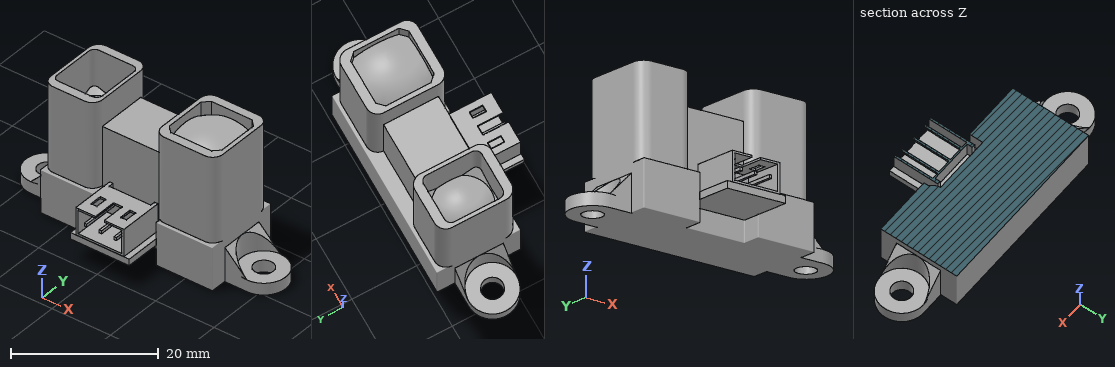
import cadquery as cq

BASE_LENGTH = 29.5
BASE_WIDTH = 13.0
BASE_HEIGHT = 7.25
EDGE_RADIUS = 0.1
NOTCH_BACK_Y = -3.5

EAR_SPACING = 37.0
EAR_RADIUS = 3.75
EAR_HOLE_DIAMETER = 3.2
EAR_THICKNESS = 2.0
GUSSET_OVERLAP = 1.0

TOWER_TOP = 21.6
TOWER_DEPTH = 11.9
TOWER_CORNER_RADIUS = 1.75
OPENING_DEPTH = 9.0
LEFT_TOWER_LENGTH = 8.9
LEFT_OPENING_LENGTH = 7.75
LEFT_OPENING_RADIUS = 1.0
RIGHT_TOWER_LENGTH = 10.45
RIGHT_OPENING_LENGTH = 9.0
RIGHT_OPENING_CHAMFER = 1.0
LEFT_TOWER_X = (LEFT_TOWER_LENGTH - BASE_LENGTH) / 2
RIGHT_TOWER_X = (BASE_LENGTH - RIGHT_TOWER_LENGTH) / 2
BLOCK_DEPTH = 8.5
BLOCK_TOP = 17.15

LENS_RADIUS = 8.5
RIGHT_LENS_TOP = 21.5
LEFT_LENS_RADIUS = 6.0
LEFT_LENS_TOP = 16.5
LEFT_BOWL_BOTTOM = 13.45

BOARD_WIDTH = 10.1
BOARD_THICKNESS = 1.1
BOARD_TOP = 4.45
FRONT_Y = -12.4

SHELL_WIDTH = 8.25
SHELL_TOP = 9.0
SHELL_FRONT_SETBACK = 0.05
SHELL_FRONT_Y = FRONT_Y + SHELL_FRONT_SETBACK
SHELL_BACK_Y = -4.85
SHELL_SIDE_WALL = 0.4
SHELL_TOP_WALL = 0.3
SHELL_FLOOR = 0.35
SHELL_BACK_WALL = 0.3
BACK_NOTCH_WIDTH = 7.1
BACK_NOTCH_DEPTH = 0.85
CAVITY_BACK_Y = SHELL_BACK_Y - BACK_NOTCH_DEPTH - SHELL_BACK_WALL
SLOT_BACK_Y = -8.35
SIDE_SLOT_WIDTH = 1.0
SIDE_SLOT_LENGTH = 2.05
KEY_SLOT_WIDTH = 1.5
PIN_PITCH = 2.54
PIN_WIDTH = 0.4
PIN_HEIGHT = 0.5
PIN_Z = 6.7
PIN_TIP_RECESS = 0.1


def span_box(x_range, y_range, z_range):
    """Box between the given limits along X, Y and Z."""
    (x0, x1), (y0, y1), (z0, z1) = x_range, y_range, z_range
    return cq.Workplane("XY").box(x1 - x0, y1 - y0, z1 - z0, centered=False).translate((x0, y0, z0))


def centered_box(width, y_range, z_range, x=0.0):
    """Box centred on x, between the given limits along Y and Z."""
    return span_box((x - width / 2, x + width / 2), y_range, z_range)


def cylinder(x, radius, bottom, top):
    """Upright cylinder centred at x on the X axis."""
    return cq.Workplane("XY", origin=(x, 0, bottom)).circle(radius).extrude(top - bottom)


def sphere(x, z, radius):
    """Sphere centred at x and z, on the mid-plane of the part."""
    return cq.Workplane("XY").sphere(radius).translate((x, 0, z))


def make_base():
    """Rounded base with an open notch in the middle of its front."""
    front = -BASE_WIDTH / 2
    base = cq.Workplane("XY").box(BASE_LENGTH, BASE_WIDTH, BASE_HEIGHT, centered=(True, True, False))
    base = base.cut(centered_box(BOARD_WIDTH, (front, NOTCH_BACK_Y), (0, BASE_HEIGHT)))
    return base.edges("|Z or >Z or <Z").fillet(EDGE_RADIUS)


def make_ear(side):
    """Mounting ear with a sloped gusset; side is -1 for -X and +1 for +X."""
    hole_x = side * EAR_SPACING / 2
    wall_x = side * BASE_LENGTH / 2
    gusset_top = EAR_THICKNESS + abs(hole_x - wall_x)
    root_x = wall_x - side * GUSSET_OVERLAP
    profile = [
        (hole_x, 0),
        (hole_x, EAR_THICKNESS),
        (wall_x, gusset_top),
        (root_x, gusset_top),
        (root_x, 0),
    ]
    gusset = cq.Workplane("XZ").polyline(profile).close().extrude(EAR_RADIUS, both=True)
    clearance = cylinder(hole_x, EAR_RADIUS, EAR_THICKNESS, gusset_top)
    disc = cylinder(hole_x, EAR_RADIUS, 0, EAR_THICKNESS)
    hole = cylinder(hole_x, EAR_HOLE_DIAMETER / 2, 0, EAR_THICKNESS)
    return gusset.cut(clearance).union(disc).cut(hole)


def column(x, length, depth, bottom):
    """Upright rectangular column on the X axis, from the given bottom to the tower top."""
    return centered_box(length, (-depth / 2, depth / 2), (bottom, TOWER_TOP), x)


def make_tower(x, length):
    """Solid tower with rounded corners, standing at board level."""
    return column(x, length, TOWER_DEPTH, BOARD_TOP).edges("|Z").fillet(TOWER_CORNER_RADIUS)


def make_block():
    """Plain block joining the two towers."""
    return span_box(
        (LEFT_TOWER_X, RIGHT_TOWER_X), (-BLOCK_DEPTH / 2, BLOCK_DEPTH / 2), (BOARD_TOP, BLOCK_TOP)
    )


def make_left_cavity():
    """Opening whose floor is a bowl with a convex lens rising from its middle."""
    opening = column(LEFT_TOWER_X, LEFT_OPENING_LENGTH, OPENING_DEPTH, BASE_HEIGHT)
    opening = opening.edges("|Z").fillet(LEFT_OPENING_RADIUS)
    bowl = sphere(LEFT_TOWER_X, LEFT_BOWL_BOTTOM + LENS_RADIUS, LENS_RADIUS)
    lens = sphere(LEFT_TOWER_X, LEFT_LENS_TOP - LEFT_LENS_RADIUS, LEFT_LENS_RADIUS)
    return opening.intersect(bowl).cut(lens)


def make_right_cavity():
    """Opening with chamfered corners, floored by a large convex lens reaching almost to the rim."""
    lens_z = RIGHT_LENS_TOP - LENS_RADIUS
    opening = column(RIGHT_TOWER_X, RIGHT_OPENING_LENGTH, OPENING_DEPTH, lens_z)
    opening = opening.edges("|Z").chamfer(RIGHT_OPENING_CHAMFER)
    return opening.cut(sphere(RIGHT_TOWER_X, lens_z, LENS_RADIUS))


def make_board():
    """Board tongue reaching from the back of the base notch out to the front."""
    return centered_box(BOARD_WIDTH, (FRONT_Y, NOTCH_BACK_Y), (BOARD_TOP - BOARD_THICKNESS, BOARD_TOP))


def make_shell():
    """Connector shell with an open front, a notched back and three slots in its top wall."""
    notch_front_y = SHELL_BACK_Y - BACK_NOTCH_DEPTH
    ceiling_z = SHELL_TOP - SHELL_TOP_WALL
    shell = centered_box(SHELL_WIDTH, (SHELL_FRONT_Y, SHELL_BACK_Y), (BOARD_TOP, SHELL_TOP))
    back_notch = centered_box(BACK_NOTCH_WIDTH, (notch_front_y, SHELL_BACK_Y), (BOARD_TOP, SHELL_TOP))
    cavity = centered_box(
        SHELL_WIDTH - 2 * SHELL_SIDE_WALL,
        (SHELL_FRONT_Y, CAVITY_BACK_Y),
        (BOARD_TOP + SHELL_FLOOR, ceiling_z),
    )
    key_slot = centered_box(KEY_SLOT_WIDTH, (SHELL_FRONT_Y, SLOT_BACK_Y), (ceiling_z, SHELL_TOP))
    shell = shell.cut(back_notch).cut(cavity).cut(key_slot)
    slot_front_y = SLOT_BACK_Y - SIDE_SLOT_LENGTH
    for slot_x in (-PIN_PITCH, PIN_PITCH):
        side_slot = centered_box(SIDE_SLOT_WIDTH, (slot_front_y, SLOT_BACK_Y), (ceiling_z, SHELL_TOP), slot_x)
        shell = shell.cut(side_slot)
    return shell


def make_pin(x):
    """Square-ended pin rooted in the back wall of the shell."""
    root_y = CAVITY_BACK_Y + SHELL_BACK_WALL
    tip_y = SHELL_FRONT_Y + PIN_TIP_RECESS
    return centered_box(PIN_WIDTH, (tip_y, root_y), (PIN_Z - PIN_HEIGHT / 2, PIN_Z + PIN_HEIGHT / 2), x)


result = make_base()
for ear_side in (-1, 1):
    result = result.union(make_ear(ear_side))
result = result.union(make_board())
result = result.union(make_tower(LEFT_TOWER_X, LEFT_TOWER_LENGTH))
result = result.union(make_tower(RIGHT_TOWER_X, RIGHT_TOWER_LENGTH))
result = result.union(make_block())
result = result.cut(make_left_cavity())
result = result.cut(make_right_cavity())
result = result.union(make_shell())
for pin_x in (-PIN_PITCH, 0, PIN_PITCH):
    result = result.union(make_pin(pin_x))